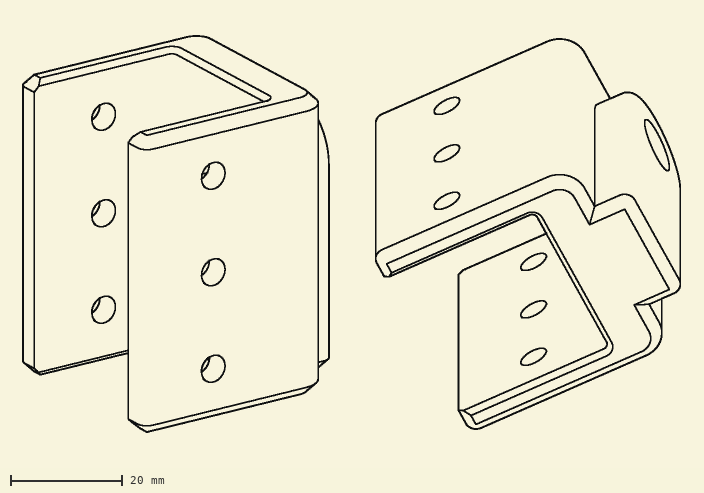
import cadquery as cq

width = 40.0
depth = 40.0
height = 57
side_wall = 5.0
back_wall = 10.0
back_corner_radius = 5.0
edge_chamfer = 2.0
edge_radius = 2.05

channel_width = width - 2 * side_wall
channel_end = depth - back_wall
channel_corner_radius = 1.0
channel_chamfer = 1.0

boss_radius = 11.0
boss_height = 7.0
bolt_axis_z = 39.0
bolt_hole_diameter = 10.0
nut_across_corners = 20.2
nut_pocket_depth = 7.0
nut_tilt = 2

pin_hole_diameter = 5.1
pin_hole_y = 15.0
pin_hole_pitch = 18.5

total_depth = depth + boss_height


def make_body():
    """Solid block with rounded upright corners and chamfered top and bottom."""
    block = cq.Workplane("XY").box(width, depth, height, centered=(True, False, False))
    block = block.edges("|Z and >Y").fillet(back_corner_radius)
    block = block.edges("|Z and <Y").fillet(edge_radius)
    return block.faces("<Z or >Z").edges().chamfer(edge_chamfer)


def make_boss():
    """Round-topped boss starting inside the back wall, rounded around its outer face."""
    start_y = channel_end + back_wall / 2
    boss = (
        cq.Workplane("XZ", origin=(0, start_y, 0))
        .moveTo(-boss_radius, 0)
        .lineTo(-boss_radius, bolt_axis_z)
        .threePointArc((0, bolt_axis_z + boss_radius), (boss_radius, bolt_axis_z))
        .lineTo(boss_radius, 0)
        .close()
        .extrude(start_y - total_depth)
    )
    boss = boss.faces(">Y").edges("not <Z").fillet(edge_radius)
    return boss.faces("<Z").chamfer(edge_chamfer)


def make_channel():
    """Channel cutter, flared at both ends to chamfer the top and bottom edges."""
    length = channel_end + back_wall
    flared_width = channel_width + 2 * channel_chamfer
    flared_length = length + channel_chamfer

    channel = (
        cq.Workplane("XY", origin=(0, channel_end - length, 0))
        .box(channel_width, length, height, centered=(True, False, False))
        .edges("|Z and >Y")
        .fillet(channel_corner_radius)
    )
    slab = (
        cq.Workplane("XY", origin=(0, channel_end - length, 0))
        .box(flared_width, flared_length, 2 * channel_chamfer, centered=(True, False, True))
        .edges("|Z and >Y")
        .fillet(channel_corner_radius + channel_chamfer)
        .faces(">Z")
        .chamfer(channel_chamfer)
    )
    top_slab = slab.mirror("XY").translate((0, 0, height))
    return channel.union(slab).union(top_slab)


def make_bolt_cuts():
    """Bolt hole through the back, with a hexagonal nut pocket on the channel side."""
    hole = (
        cq.Workplane("XZ", origin=(0, total_depth, bolt_axis_z))
        .circle(bolt_hole_diameter / 2)
        .extrude(total_depth)
    )
    nut = (
        cq.Workplane("XZ", origin=(0, channel_end + nut_pocket_depth, bolt_axis_z))
        .transformed(rotate=(0, 0, 90 - nut_tilt))
        .polygon(6, nut_across_corners)
        .extrude(nut_pocket_depth)
    )
    return hole.union(nut)


def make_pin_holes():
    """Column of three pin holes crossing both legs, centred on the body height."""
    return (
        cq.Workplane("YZ", origin=(-width / 2, pin_hole_y, height / 2))
        .rarray(0.55, pin_hole_pitch, 1, 3)
        .circle(pin_hole_diameter / 2)
        .extrude(width)
    )


result = make_body().union(make_boss())
for cutter in (make_channel(), make_bolt_cuts(), make_pin_holes()):
    result = result.cut(cutter)